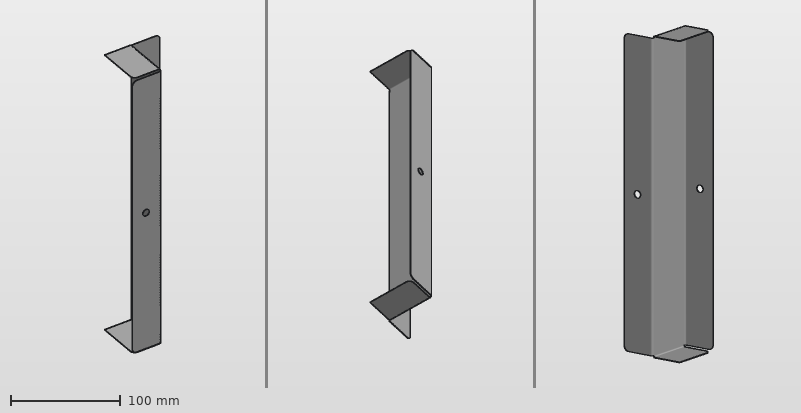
import cadquery as cq
import math

thickness = 0.8
inner_bend_radius = 1.2
outer_bend_radius = inner_bend_radius + thickness

overall_width = 50.8
overall_depth = 63.8
channel_length = 300.0
front_flange_width = 32.0
flange_corner_radius = 5.0

hole_diameter = 7.0
hole_edge_distance = 15.0

tab_length = 30.0
tab_corner_radius = 5.0

half_width = overall_width / 2
half_depth = overall_depth / 2
half_length = channel_length / 2
web_outer_y = front_flange_width - half_depth
web_inner_y = web_outer_y - thickness
tab_width = overall_width - 2 * outer_bend_radius
tab_outer_z = half_length + outer_bend_radius
tab_tip_y = web_outer_y - tab_length
bend_arc_scale = math.sqrt(0.5)


def make_channel():
    """Z-section extruded along Z, with rounded bends and flange corners."""
    left_inner_x = -half_width + thickness
    right_inner_x = half_width - thickness
    channel = (
        cq.Workplane("XY")
        .workplane(offset=-half_length)
        .moveTo(-half_width, half_depth)
        .lineTo(-half_width, web_inner_y)
        .lineTo(right_inner_x, web_inner_y)
        .lineTo(right_inner_x, -half_depth)
        .lineTo(half_width, -half_depth)
        .lineTo(half_width, web_outer_y)
        .lineTo(left_inner_x, web_outer_y)
        .lineTo(left_inner_x, half_depth)
        .close()
        .extrude(channel_length)
    )
    outer_bends = [(-half_width, web_inner_y), (half_width, web_outer_y)]
    inner_bends = [(left_inner_x, web_outer_y), (right_inner_x, web_inner_y)]
    for corners, radius in ((outer_bends, outer_bend_radius), (inner_bends, inner_bend_radius)):
        for x, y in corners:
            bend_edge = cq.selectors.NearestToPointSelector((x, y, 0))
            channel = channel.edges("|Z").edges(bend_edge).fillet(radius)
    for tip in (">Y", "<Y"):
        channel = channel.faces(tip).edges("|X").fillet(flange_corner_radius)
    return channel


def make_top_tab():
    """Tab at the +Z end, joined to the web by a quarter-round bend."""
    bend_y = web_outer_y - outer_bend_radius
    outer_arc = outer_bend_radius * bend_arc_scale
    inner_arc = inner_bend_radius * bend_arc_scale
    tab = (
        cq.Workplane("YZ")
        .workplane(offset=-tab_width / 2)
        .moveTo(web_outer_y, half_length)
        .threePointArc((bend_y + outer_arc, half_length + outer_arc), (bend_y, tab_outer_z))
        .lineTo(tab_tip_y, tab_outer_z)
        .lineTo(tab_tip_y, tab_outer_z - thickness)
        .lineTo(bend_y, tab_outer_z - thickness)
        .threePointArc((bend_y + inner_arc, half_length + inner_arc), (web_inner_y, half_length))
        .close()
        .extrude(tab_width)
    )
    return tab.faces("<Y").edges("|Z and >X").fillet(tab_corner_radius)


def make_holes():
    """Cylinders along X through both flanges."""
    hole_y = half_depth - hole_edge_distance
    return (
        cq.Workplane("YZ")
        .workplane(offset=-half_width)
        .pushPoints([(hole_y, 0), (-hole_y, 0)])
        .circle(hole_diameter / 2)
        .extrude(overall_width)
    )


top_tab = make_top_tab()
bottom_tab = top_tab.mirror("XY")
result = make_channel().union(top_tab).union(bottom_tab).cut(make_holes())